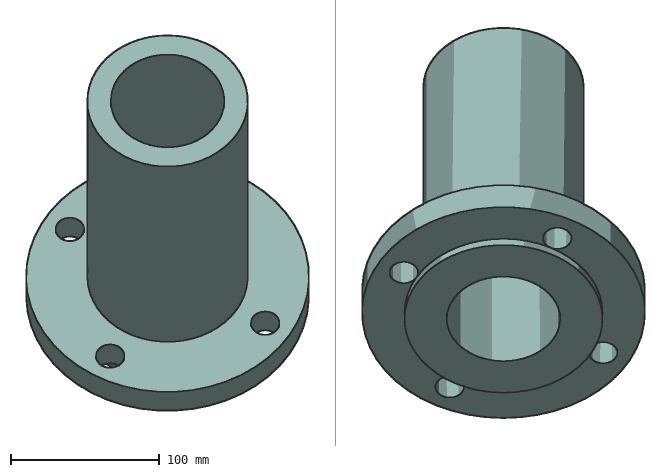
import cadquery as cq

total_height = 233.4

flange_diameter = 190.5
flange_thickness = 22.2
raised_face_diameter = 133.2
raised_face_height = 6.3

tube_diameter = 108.0
bore_diameter = 76.3

bolt_hole_count = 4
bolt_hole_diameter = 19.1
bolt_circle_diameter = 152.5

flange_top = raised_face_height + flange_thickness
tube_length = total_height - flange_top


def cylinder(diameter, bottom, height):
    """Solid cylinder on the Z axis, standing on the level `bottom`."""
    return cq.Workplane("XY").workplane(offset=bottom).circle(diameter / 2).extrude(height)


raised_face = cylinder(raised_face_diameter, 0, raised_face_height)
flange = cylinder(flange_diameter, raised_face_height, flange_thickness)
tube = cylinder(tube_diameter, flange_top, tube_length)
bore = cylinder(bore_diameter, 0, total_height)

bolt_holes = (
    cq.Workplane("XY")
    .workplane(offset=raised_face_height)
    .polarArray(bolt_circle_diameter / 2, 0, 360, bolt_hole_count)
    .circle(bolt_hole_diameter / 2)
    .extrude(flange_thickness)
)

result = raised_face.union(flange).union(tube).cut(bore).cut(bolt_holes)